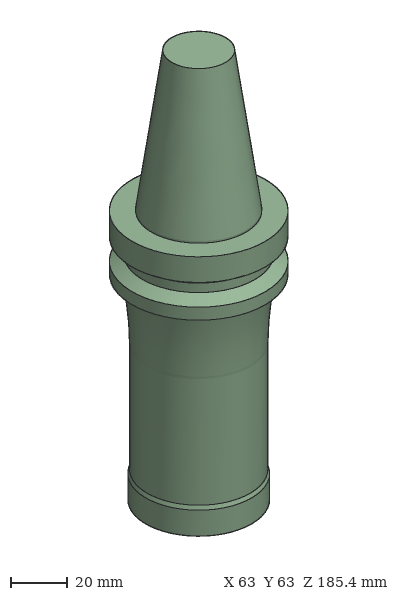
import cadquery as cq
import math

total_height = 185.4
collar_height = 10.8
collar_step_top = 12.5
body_top = 64.3
flare_bottom = 65.5
flare_top = 90.7
flange_bottom = 93.0
groove_lower_edge = 98.5
groove_floor_bottom = 101.5
groove_floor_top = 105.3
groove_upper_edge = 108.6
flange_top = 119.2
taper_base = 120.0

collar_radius = 50.0 / 2
body_radius = 48.8 / 2
flare_bottom_radius = 49.0 / 2
flare_top_radius = 53.8 / 2
flange_radius = 63.0 / 2
lower_chamfer_radius = 60.0 / 2
groove_radius = 53.0 / 2
gauge_radius = 44.5 / 2

taper_ratio = 7 / 24
tip_radius = gauge_radius - taper_ratio * (total_height - taper_base) / 2

flare_sag = 0.5
flare_rise = flare_top - flare_bottom
flare_run = flare_top_radius - flare_bottom_radius
flare_chord = math.hypot(flare_run, flare_rise)
flare_middle = (
    (flare_bottom_radius + flare_top_radius) / 2 - flare_sag * flare_rise / flare_chord,
    (flare_bottom + flare_top) / 2 + flare_sag * flare_run / flare_chord,
)

profile = (
    cq.Workplane("XZ")
    .moveTo(0, 0)
    .lineTo(collar_radius, 0)
    .lineTo(collar_radius, collar_height)
    .lineTo(body_radius, collar_step_top)
    .lineTo(body_radius, body_top)
    .lineTo(flare_bottom_radius, flare_bottom)
    .threePointArc(flare_middle, (flare_top_radius, flare_top))
    .lineTo(lower_chamfer_radius, flange_bottom)
    .lineTo(flange_radius, flange_bottom)
    .lineTo(flange_radius, groove_lower_edge)
    .lineTo(groove_radius, groove_floor_bottom)
    .lineTo(groove_radius, groove_floor_top)
    .lineTo(flange_radius, groove_upper_edge)
    .lineTo(flange_radius, flange_top)
    .lineTo(gauge_radius, flange_top)
    .lineTo(gauge_radius, taper_base)
    .lineTo(tip_radius, total_height)
    .lineTo(0, total_height)
    .close()
)

result = profile.revolve(360, (0, 0, 0), (0, 1, 0))